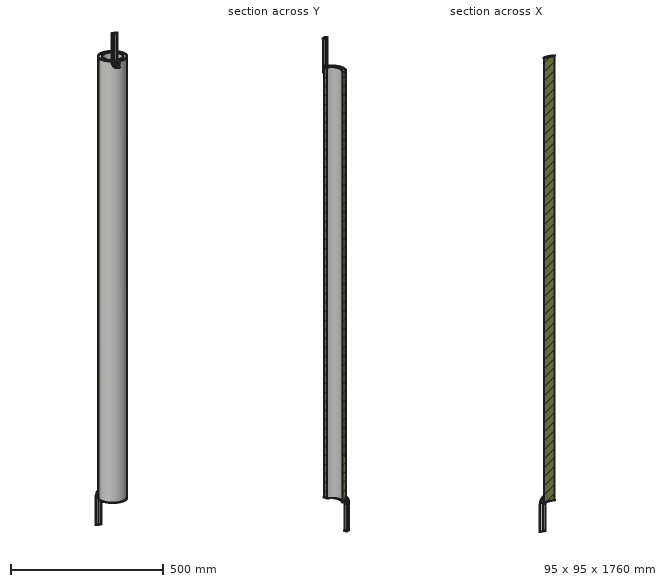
import cadquery as cq

total_length = 1760.0
lead_projection = 100.0
tube_diameter = 95.0
bore_diameter = 70.0
tube_length = total_length - 2 * lead_projection

lead_diameter = 10.0
lead_bore = 8.0
skin_depth = 0.4
lead_spacing = 12.0
lead_tip_y = -32.0
inner_bend_radius = 18.0
bend_end_projection = 7.0
lead_x = (tube_diameter - lead_diameter) / 2 - skin_depth

bend_center_y = lead_tip_y + lead_spacing + inner_bend_radius
bend_center_z = tube_length / 2 + bend_end_projection


def make_tube():
    return (
        cq.Workplane("XY")
        .workplane(offset=-tube_length / 2)
        .circle(tube_diameter / 2)
        .circle(bore_diameter / 2)
        .extrude(tube_length)
    )


def make_lead(bend_radius):
    """Hollow lead leaving the wall along -Y, then bending upward past the tube end."""
    start_z = bend_center_z - bend_radius
    diagonal = bend_radius / 2**0.5
    path = (
        cq.Workplane("YZ", origin=(lead_x, 0, 0))
        .moveTo(0, start_z)
        .lineTo(bend_center_y, start_z)
        .threePointArc(
            (bend_center_y - diagonal, bend_center_z - diagonal),
            (bend_center_y - bend_radius, bend_center_z),
        )
        .lineTo(bend_center_y - bend_radius, total_length / 2)
    )
    profile = cq.Workplane("XZ", origin=(lead_x, 0, start_z)).circle(lead_diameter / 2).circle(lead_bore / 2)
    return profile.sweep(path)


result = make_tube()
for bend_radius in (inner_bend_radius, inner_bend_radius + lead_spacing):
    top_lead = make_lead(bend_radius)
    bottom_lead = top_lead.rotate((0, 0, 0), (0, 1, 0), 180)
    result = result.union(top_lead).union(bottom_lead)